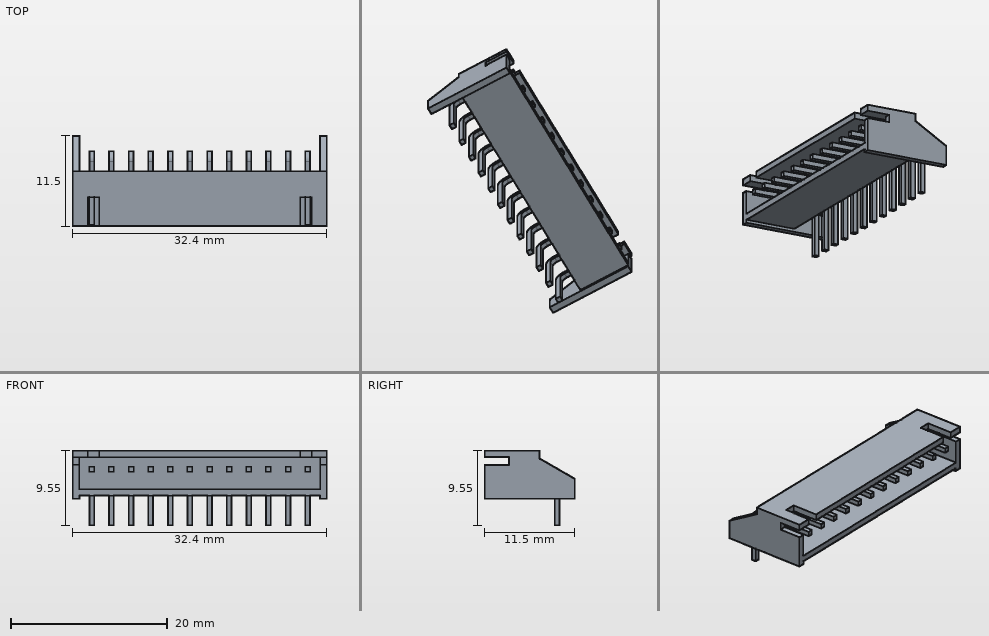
import cadquery as cq
import math

WIDTH = 32.4
HEIGHT = 6.15
BODY_DEPTH = 7.0
TOTAL_DEPTH = 11.5
FOOT_DROP = 0.4

PLATE_THICKNESS = 0.9
PLATE_STEP = 1.0
PLATE_REAR_HEIGHT = 2.55

WALL = 0.83
CAVITY_DEPTH = 4.65

SIDE_SLOT_DEPTH = 3.1
SIDE_SLOT_HEIGHT = 1.0
ROOF_SLOT_DEPTH = 3.7
ROOF_SLOT_WIDTH = 1.5
ROOF_SLOT_OFFSET = 1.9

PIN_COUNT = 12
PIN_PITCH = 2.5
PIN_SIZE = 0.64
PIN_AXIS_HEIGHT = 3.77
PIN_TIP_RECESS = 0.2
PIN_REAR_Y = 9.55
PIN_TAIL_LENGTH = 3.4
BEND_INNER_RADIUS = PIN_SIZE
BEND_OUTER_RADIUS = BEND_INNER_RADIUS + PIN_SIZE


def box(x_min, x_max, y_min, y_max, z_min, z_max):
    """Axis-aligned block between the given limits."""
    block = cq.Workplane("XY").box(x_max - x_min, y_max - y_min, z_max - z_min, centered=False)
    return block.translate((x_min, y_min, z_min))


def make_side_plate(x_min):
    """Full-depth side plate with a sloping rear shoulder."""
    outline = [
        (0, 0),
        (TOTAL_DEPTH, 0),
        (TOTAL_DEPTH, PLATE_REAR_HEIGHT),
        (BODY_DEPTH, HEIGHT - PLATE_STEP),
        (BODY_DEPTH, HEIGHT),
        (0, HEIGHT),
    ]
    plate = cq.Workplane("YZ").polyline(outline).close().extrude(PLATE_THICKNESS)
    return plate.translate((x_min, 0, 0))


def make_housing():
    """Body and side plates, hollowed and slotted from the mating face."""
    half = WIDTH / 2
    inner_half = half - WALL
    cavity_floor = FOOT_DROP + WALL
    cavity_roof = HEIGHT - WALL

    housing = box(-half, half, 0, BODY_DEPTH, FOOT_DROP, HEIGHT)
    housing = housing.union(make_side_plate(-half))
    housing = housing.union(make_side_plate(half - PLATE_THICKNESS))
    housing = housing.cut(box(-inner_half, inner_half, 0, CAVITY_DEPTH, cavity_floor, cavity_roof))

    housing = housing.cut(
        box(-half, half, 0, SIDE_SLOT_DEPTH, cavity_roof - SIDE_SLOT_HEIGHT, cavity_roof)
    )

    slot_outer = half - ROOF_SLOT_OFFSET
    slot_inner = slot_outer - ROOF_SLOT_WIDTH
    roof_slot = box(slot_inner, slot_outer, 0, ROOF_SLOT_DEPTH, cavity_roof, HEIGHT)
    return housing.cut(roof_slot).cut(roof_slot.mirror("YZ"))


def make_pin(x_center):
    """Square pin running back through the housing and bending down to a straight tail."""
    top = PIN_AXIS_HEIGHT + PIN_SIZE / 2
    bottom = top - PIN_SIZE
    leg_front = PIN_REAR_Y - PIN_SIZE
    bend_y = PIN_REAR_Y - BEND_OUTER_RADIUS
    bend_z = top - BEND_OUTER_RADIUS
    diagonal = math.sqrt(0.5)
    outer_mid = BEND_OUTER_RADIUS * diagonal
    inner_mid = BEND_INNER_RADIUS * diagonal

    profile = (
        cq.Workplane("YZ")
        .moveTo(PIN_TIP_RECESS, top)
        .lineTo(bend_y, top)
        .threePointArc((bend_y + outer_mid, bend_z + outer_mid), (PIN_REAR_Y, bend_z))
        .lineTo(PIN_REAR_Y, -PIN_TAIL_LENGTH)
        .lineTo(leg_front, -PIN_TAIL_LENGTH)
        .lineTo(leg_front, bend_z)
        .threePointArc((bend_y + inner_mid, bend_z + inner_mid), (bend_y, bottom))
        .lineTo(PIN_TIP_RECESS, bottom)
        .close()
    )
    return profile.extrude(PIN_SIZE / 2, both=True).translate((x_center, 0, 0))


result = make_housing()
first_pin_x = -PIN_PITCH * (PIN_COUNT - 1) / 2
for index in range(PIN_COUNT):
    result = result.union(make_pin(first_pin_x + index * PIN_PITCH))